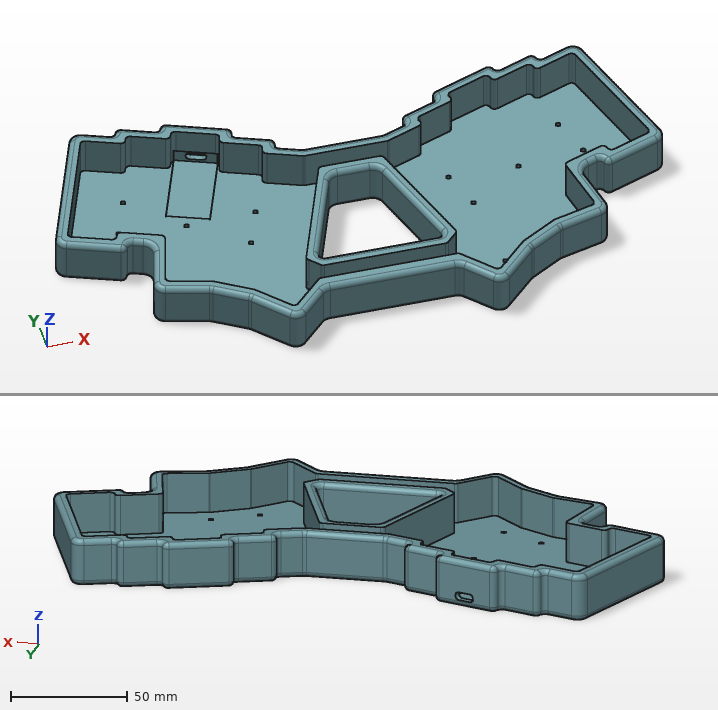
import cadquery as cq
import math


height = 20.7
floor_thickness = 3.0
wall = 5.0
front_wall = 6.0
edge_round = 2.5

pitch = 19.05
clearance = 1.0
wing_tilt = 20
stagger = pitch / 4

field_left = -122.42
field_top = 18.9
rows = 3

cavity_back = 28.0
cavity_front = -46.5
thumb_top_left = (-95.5, -31.7)
thumb_bend = (-75.8, -36.8)
thumb_knee = (-59.7, -46.2)
thumb_tip_x = -45.2
thumb_side_tilt = 14

cavity_corner = 2.02
outer_corner = 5.0
step_convex = 2.55
step_concave = 2.2

window_back = 14.8
window_front = -33.9
window_mid_x = -16.0
window_back_corner = 5.0
window_front_corner = 2.5
island_front = -39.2
island_corner = 2.02
island_chamfer = 5.78

recess_front = -4.5
recess_floor = 1.48
recess_top = 9.1
recess_into_wall = 2.02
slot_width = 9.0
slot_height = 3.5
slot_z = 4.5

screw_hole = 2.0
thumb_holes = ((-72.8, -27.5), (-53.8, -38.5))


def column(index):
    """Position along u of a key column boundary."""
    return field_left + index * pitch


def from_wing(u, v):
    """Turn left wing axes into X and Y."""
    tilt = math.radians(wing_tilt)
    return (
        u * math.cos(tilt) + v * math.sin(tilt),
        v * math.cos(tilt) - u * math.sin(tilt),
    )


def unit(start, end):
    """Unit vector from one point to another."""
    length = math.dist(start, end)
    return (end[0] - start[0]) / length, (end[1] - start[1]) / length


def mirrored(left_points):
    """Close a left half outline with its mirror image about X = 0."""
    return left_points + [(-x, y) for x, y in reversed(left_points)]


def offset(points, distances):
    """Move each side of a counter-clockwise polygon outwards by its own distance.

    Side i runs from point i to the next point. The corners stay sharp.
    """
    moved = []
    for i, (x, y) in enumerate(points):
        ax, ay = unit(points[i - 1], (x, y))
        bx, by = unit((x, y), points[(i + 1) % len(points)])
        before, after = distances[i - 1], distances[i]
        turn = ax * by - ay * bx
        moved.append((x + (after * ax - before * bx) / turn, y + (after * ay - before * by) / turn))
    return moved


def rounded_prism(points, radii, bottom, top):
    """Extrude a polygon whose corners carry the given radii."""
    arcs = []
    for i, (x, y) in enumerate(points):
        to_previous = unit((x, y), points[i - 1])
        to_next = unit((x, y), points[(i + 1) % len(points)])
        dot = to_previous[0] * to_next[0] + to_previous[1] * to_next[1]
        half_angle = math.acos(dot) / 2
        tangent = radii[i] / math.tan(half_angle)
        middle = radii[i] / math.sin(half_angle) - radii[i]
        inward = unit((0, 0), (to_previous[0] + to_next[0], to_previous[1] + to_next[1]))
        arcs.append((
            (x + to_previous[0] * tangent, y + to_previous[1] * tangent),
            (x + inward[0] * middle, y + inward[1] * middle),
            (x + to_next[0] * tangent, y + to_next[1] * tangent),
        ))
    sketch = cq.Workplane("XY").workplane(offset=bottom).moveTo(*arcs[0][0])
    for start, middle, end in arcs:
        sketch = sketch.lineTo(*start) if start != arcs[0][0] else sketch
        sketch = sketch.threePointArc(middle, end)
    return sketch.close().extrude(top - bottom)


cavity_v = field_top + clearance
cavity_bottom_v = field_top - rows * pitch - clearance
notch_v = cavity_bottom_v + stagger
tilt = math.radians(wing_tilt)
back_bend_x = (cavity_v - cavity_back * math.cos(tilt)) / math.sin(tilt)

side = math.radians(thumb_side_tilt)
side_x, side_y = thumb_top_left
start_v = side_x * math.sin(tilt) + side_y * math.cos(tilt)
run = (notch_v - start_v) / math.cos(side - tilt)
notch_corner = (side_x + run * math.sin(side), side_y + run * math.cos(side))

thumb_tip_y = thumb_knee[1] - (thumb_tip_x - thumb_knee[0])
front_bend_x = thumb_tip_x + cavity_front - thumb_tip_y

left_u = column(0) - clearance
step_corners = (
    (column(4) + clearance, cavity_v, step_concave),
    (column(4) + clearance, cavity_v + stagger, step_convex),
    (column(3) + clearance, cavity_v + stagger, step_concave),
    (column(3) + clearance, cavity_v + 2 * stagger, step_convex),
    (column(2) - clearance, cavity_v + 2 * stagger, step_convex),
    (column(2) - clearance, cavity_v + stagger, step_concave),
    (column(1) - clearance, cavity_v + stagger, step_convex),
    (column(1) - clearance, cavity_v, step_concave),
    (left_u, cavity_v, outer_corner),
    (left_u, cavity_bottom_v, outer_corner),
    (column(1) + clearance, cavity_bottom_v, step_convex),
    (column(1) + clearance, notch_v, step_concave),
)
wing_points = [from_wing(u, v) for u, v, _ in step_corners]
thumb_points = [
    notch_corner,
    thumb_top_left,
    thumb_bend,
    thumb_knee,
    (thumb_tip_x, thumb_tip_y),
    (front_bend_x, cavity_front),
]
cavity_points = mirrored([(back_bend_x, cavity_back)] + wing_points + thumb_points)
left_radii = [outer_corner] + [r for _, _, r in step_corners] + [outer_corner] * len(thumb_points)
outer_radii = left_radii + left_radii[::-1]
outer_walls = [wall] * len(cavity_points)
outer_walls[len(cavity_points) // 2 - 1] = front_wall
cavity_radii = [cavity_corner] * len(cavity_points)

slant = math.tan(tilt)
window_points = mirrored([
    (window_mid_x + window_back * slant, window_back),
    (window_mid_x + window_front * slant, window_front),
])
window_radii = [window_back_corner, window_front_corner, window_front_corner, window_back_corner]

island_mid_x = window_mid_x - wall / math.cos(tilt)
island_back = window_back + wall
chamfer_y = island_front + island_chamfer
chamfer_x = island_mid_x + chamfer_y * slant
island_points = mirrored([
    (island_mid_x + island_back * slant, island_back),
    (chamfer_x, chamfer_y),
    (chamfer_x + island_chamfer, island_front),
])
island_radii = [island_corner] * len(island_points)

body = rounded_prism(offset(cavity_points, outer_walls), outer_radii, 0, height)
body = body.cut(rounded_prism(window_points, window_radii, 0, height))
body = body.faces("<Z or >Z").edges().fillet(edge_round)

cavity = rounded_prism(cavity_points, cavity_radii, floor_thickness, height)
island = rounded_prism(island_points, island_radii, floor_thickness, height)
body = body.cut(cavity.cut(island))

back_v = cavity_v + 2 * stagger
recess_back = back_v + recess_into_wall
recess = cq.Workplane("XY").box(
    pitch, recess_back - recess_front, recess_top - recess_floor, centered=(True, False, False)
)
recess = recess.translate((column(2.5), recess_front, recess_floor))
slot = (
    cq.Workplane("XZ", origin=(column(2.5), back_v, slot_z))
    .slot2D(slot_width, slot_height)
    .extrude(-2 * wall)
)
body = body.cut(recess.union(slot).rotate((0, 0, 0), (0, 0, 1), -wing_tilt))

wing_holes = [
    (column(1), field_top - 0.9 * pitch),
    (column(1), field_top - 1.9 * pitch),
    (column(2.5), field_top - 1.5 * pitch),
    (column(4), field_top - 0.9 * pitch),
    (column(4), field_top - 1.9 * pitch),
]
hole_points = mirrored([from_wing(u, v) for u, v in wing_holes] + list(thumb_holes))
holes = cq.Workplane("XY").pushPoints(hole_points).circle(screw_hole / 2).extrude(floor_thickness)

result = body.cut(holes)